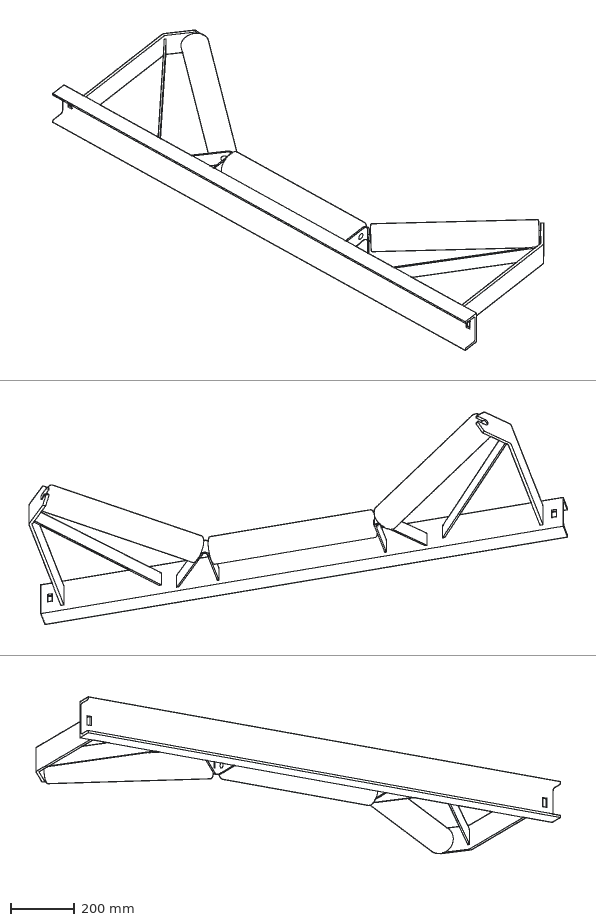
import cadquery as cq
import math


BEAM_LENGTH = 1700.0
BEAM_HEIGHT = 120.0
BEAM_DEPTH = 55.0
WEB_THICKNESS = 7.0
FLANGE_THICKNESS = 9.0
BEAM_ROOT_RADIUS = 9.0
BEAM_TOE_RADIUS = 4.5
SLOT_WIDTH = 15.0
SLOT_HEIGHT = 30.0
SLOT_END_DISTANCE = 30.0

ROLLER_RADIUS = 44.5
ROLLER_LENGTH = 530.0
ROLLER_END_RADIUS = 5.0
SHAFT_RADIUS = 10.0
ROLLER_GAP = 5.0
TROUGH_ANGLE = math.radians(40.0)
FORWARD_TILT = math.radians(2.0)
CENTRE_MIDDLE = cq.Vector(0, 116.5, -20.0)
WING_MIDDLE = cq.Vector(-506.5, 302.0, -10.4)

OUTER_THICKNESS = 10.0
OUTER_HEIGHT = 80.0
OUTER_FACE_X = -784.5
OUTER_TIP_Y = 504.33
OUTER_TIP_CHAMFER = 25.0
OUTER_BEND_RADIUS = 16.0

INNER_THICKNESS = 5.0
INNER_HEIGHT = 50.0
INNER_BEND_RADIUS = 12.0

SHAFT_OVERHANG = ROLLER_GAP + INNER_THICKNESS

BRACE_THICKNESS = 6.0
BRACE_HEIGHT = 50.0
BRACE_FOOT_X = -457.0
BRACE_HEAD_OFFSET = 5.0

ALONG_X = cq.Vector(1, 0, 0)
UPWARD = cq.Vector(0, 0, 1)
WING_OUT = cq.Vector(-math.cos(TROUGH_ANGLE), math.sin(TROUGH_ANGLE), 0)
WING_UP = cq.Vector(math.sin(TROUGH_ANGLE), math.cos(TROUGH_ANGLE), 0)
WING_AXIS = WING_OUT * math.cos(FORWARD_TILT) + UPWARD * math.sin(FORWARD_TILT)


def point_at_y(start, direction, y):
    """Plan point at the given Y on the line through start along direction."""
    return (start.x + direction.x * (y - start.y) / direction.y, y)


def point_at_x(start, direction, x):
    """Plan point at the given X on the line through start along direction."""
    return (x, start.y + direction.y * (x - start.x) / direction.x)


def plan_plate(outline, height, middle_z):
    """Upright plate with the given plan outline."""
    bottom = cq.Workplane("XY", origin=(0, 0, middle_z - height / 2))
    return bottom.polyline(outline).close().extrude(height)


def round_bend(bracket, inside, outside, inside_radius, thickness):
    """Round the upright edges of a bend at its inside and outside corners."""
    for corner, radius in ((inside, inside_radius), (outside, inside_radius + thickness)):
        bracket = bracket.edges("|Z").edges(cq.NearestToPointSelector((*corner, 0))).fillet(radius)
    return bracket


def make_beam():
    half_height = BEAM_HEIGHT / 2
    flange_inside = half_height - FLANGE_THICKNESS
    beam = (
        cq.Workplane("YZ", origin=(-BEAM_LENGTH / 2, 0, 0))
        .polyline([
            (0, -half_height), (0, half_height),
            (-BEAM_DEPTH, half_height), (-BEAM_DEPTH, flange_inside),
            (-WEB_THICKNESS, flange_inside), (-WEB_THICKNESS, -flange_inside),
            (-BEAM_DEPTH, -flange_inside), (-BEAM_DEPTH, -half_height),
        ])
        .close().extrude(BEAM_LENGTH)
    )
    for z in (flange_inside, -flange_inside):
        root = cq.NearestToPointSelector((0, -WEB_THICKNESS, z))
        toe = cq.NearestToPointSelector((0, -BEAM_DEPTH, z))
        beam = beam.edges("|X").edges(root).fillet(BEAM_ROOT_RADIUS)
        beam = beam.edges("|X").edges(toe).fillet(BEAM_TOE_RADIUS)
    slots = (
        cq.Workplane("XZ")
        .rarray(BEAM_LENGTH - 2 * SLOT_END_DISTANCE, 1, 2, 1)
        .rect(SLOT_WIDTH, SLOT_HEIGHT).extrude(WEB_THICKNESS)
    )
    return beam.cut(slots)


def rod(middle, axis, across, radius, length):
    """Round bar centred on middle along axis."""
    start = middle - axis * (length / 2)
    return cq.Workplane(cq.Plane(start, across, axis)).circle(radius).extrude(length)


def make_roller(middle, axis, across):
    """Roller with rounded rims and a shaft end at each side."""
    barrel = rod(middle, axis, across, ROLLER_RADIUS, ROLLER_LENGTH)
    barrel = barrel.edges("%CIRCLE").fillet(ROLLER_END_RADIUS)
    shaft_length = ROLLER_LENGTH + 2 * SHAFT_OVERHANG
    return barrel.union(rod(middle, axis, across, SHAFT_RADIUS, shaft_length))


def outer_leg_faces():
    """Points on the near and far faces of the outer bracket's leg across the roller."""
    near = WING_MIDDLE + WING_OUT * (ROLLER_LENGTH / 2 + ROLLER_GAP)
    return near, near + WING_OUT * OUTER_THICKNESS


def outer_bend():
    """Plan corners outside and inside the outer bracket's bend."""
    near, far = outer_leg_faces()
    return (
        point_at_x(far, WING_UP, OUTER_FACE_X),
        point_at_x(near, WING_UP, OUTER_FACE_X + OUTER_THICKNESS),
    )


def make_outer_bracket():
    """Bent plate: an upright leg from the beam and a leg across the roller's outer end."""
    _, far = outer_leg_faces()
    bend_outside, bend_inside = outer_bend()
    tip_far = cq.Vector(*point_at_y(far, WING_UP, OUTER_TIP_Y))
    tip_near = tip_far - WING_OUT * OUTER_THICKNESS
    bracket = plan_plate(
        [(OUTER_FACE_X, 0), bend_outside, (tip_far.x, tip_far.y),
         (tip_near.x, tip_near.y), bend_inside, (OUTER_FACE_X + OUTER_THICKNESS, 0)],
        OUTER_HEIGHT, 0)
    tip_corners = bracket.faces(cq.DirectionMinMaxSelector(WING_UP)).edges(
        cq.selectors.ParallelDirSelector(WING_OUT))
    bracket = tip_corners.chamfer(OUTER_TIP_CHAMFER)
    bracket = round_bend(
        bracket, bend_inside, bend_outside, OUTER_BEND_RADIUS - OUTER_THICKNESS, OUTER_THICKNESS)
    shaft_end = WING_MIDDLE + WING_AXIS * (ROLLER_LENGTH / 2)
    slot_depth = 2 * OUTER_THICKNESS + SHAFT_OVERHANG
    tip_reach = 2 * ROLLER_RADIUS
    slot_plane = cq.Workplane(cq.Plane(shaft_end, WING_UP, WING_AXIS))
    slot = slot_plane.circle(SHAFT_RADIUS).extrude(slot_depth)
    slot = slot.union(
        slot_plane.center(tip_reach / 2, 0).rect(tip_reach, 2 * SHAFT_RADIUS).extrude(slot_depth))
    return bracket.cut(slot)


def make_inner_bracket():
    """Bent strap: one leg across the wing roller's inner end, the other beside the centre roller."""
    near = WING_MIDDLE - WING_OUT * (ROLLER_LENGTH / 2 + ROLLER_GAP)
    far = near - WING_OUT * INNER_THICKNESS
    centre_face_x = -ROLLER_LENGTH / 2 - ROLLER_GAP
    back_face_x = centre_face_x - INNER_THICKNESS
    bend_outside = point_at_x(near, WING_UP, centre_face_x)
    bend_inside = point_at_x(far, WING_UP, back_face_x)
    strap = plan_plate(
        [point_at_y(near, WING_UP, 0), bend_outside, (centre_face_x, 0),
         (back_face_x, 0), bend_inside, point_at_y(far, WING_UP, 0)],
        INNER_HEIGHT, CENTRE_MIDDLE.z)
    strap = round_bend(
        strap, bend_inside, bend_outside, INNER_BEND_RADIUS - INNER_THICKNESS, INNER_THICKNESS)
    drill_length = ROLLER_LENGTH + 4 * SHAFT_OVERHANG
    wing_drill = rod(WING_MIDDLE, WING_AXIS, WING_UP, SHAFT_RADIUS, drill_length)
    centre_drill = rod(CENTRE_MIDDLE, ALONG_X, UPWARD, SHAFT_RADIUS, drill_length)
    return strap.cut(wing_drill).cut(centre_drill)


def make_brace(outer_bracket):
    """Diagonal strut from the bend of the outer bracket down to the beam."""
    _, bend_inside = outer_bend()
    corner = cq.Vector(*bend_inside)
    head = corner + WING_UP * BRACE_HEAD_OFFSET
    run = (cq.Vector(BRACE_FOOT_X, 0) - head).normalized()
    lower = head + cq.Vector(run.y, -run.x) * BRACE_THICKNESS
    strut = plan_plate(
        [(head.x, head.y), (BRACE_FOOT_X, 0), point_at_y(lower, run, 0),
         point_at_x(lower, run, corner.x), bend_inside],
        BRACE_HEIGHT, 0)
    return strut.cut(outer_bracket)


beam = make_beam()
centre_roller = make_roller(CENTRE_MIDDLE, ALONG_X, UPWARD)
wing_roller = make_roller(WING_MIDDLE, WING_AXIS, WING_UP)
outer_bracket = make_outer_bracket()
left_bodies = [
    wing_roller,
    outer_bracket,
    make_inner_bracket(),
    make_brace(outer_bracket),
]
right_bodies = [body.mirror("YZ") for body in left_bodies]
bodies = [beam, centre_roller, *left_bodies, *right_bodies]
result = cq.Compound.makeCompound([solid for body in bodies for solid in body.solids().vals()])